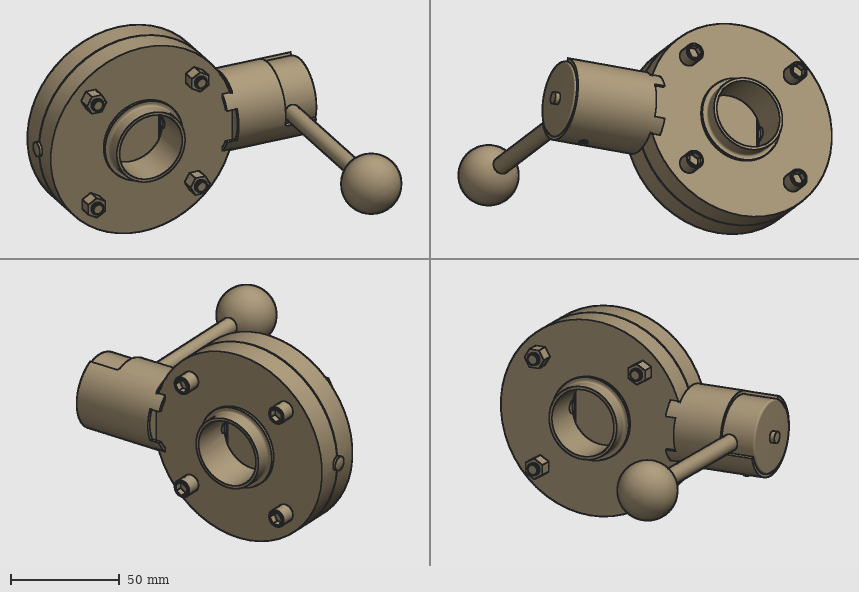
import cadquery as cq
import math


flange_radius = 47.0
flange_half_width = 24.5 / 2
flange_flat_y = 45.9
groove_width = 0.4
groove_depth = 1.4
collar_radius = 19.9
collar_end_x = 13.8
pipe_radius = 35.0 / 2
pipe_end_x = 21.0
pipe_foot_fillet = 1.1
bore_radius = 16.0

bolt_count = 4
bolt_circle_radius = 37.5
first_bolt_angle = 45.0
bolt_head_radius = 8.5 / 2
bolt_head_end_x = -19.9
bolt_head_chamfer = 0.4
socket_across_flats = 5.8
socket_depth = 3.5
nut_across_corners = 10.0
nut_end_x = 18.5
thread_radius = 2.9
thread_end_x = 20.2
thread_chamfer = 0.5

disc_face_half_width = 0.8
disc_face_flat_y = 14.1
disc_step_half_width = 0.7
disc_step_flat_y = 15.0
disc_rim_half_width = 0.5
stem_radius = 2.8
stem_end_y = 89.5
button_radius = 3.5
button_edge_y = -48.3
button_tip_y = -48.8

sleeve_radius = 38.3 / 2
sleeve_bore_radius = 17.5
sleeve_end_y = 85.9
tongue_end_y = 40.8
tongue_slot_half_width = 12.5
notch_half_height = 8.0
window_start_angle = -17.0
window_end_angle = 115.5
window_corner_radius = 1.4
screw_radius = 2.1
screw_tip_z = -20.3
screw_chamfer = 0.5

lever_radius = 4.0
lever_y = 74.0
core_edge_fillet = 1.0
core_cone_height = 0.3
ball_radius = 14.0
ball_x = 100.0
window_bottom_y = lever_y - lever_radius


def x_cylinder(radius, x_start, x_end):
    return cq.Workplane("YZ", origin=(x_start, 0, 0)).circle(radius).extrude(x_end - x_start)


def y_cylinder(radius, y_start, y_end):
    return cq.Workplane("ZX", origin=(0, y_start, 0)).circle(radius).extrude(y_end - y_start)


def centred_box(x_size, y_start, y_end, z_size):
    return cq.Workplane("ZX", origin=(0, y_start, 0)).rect(z_size, x_size).extrude(y_end - y_start)


def flatted_disc(half_width, flat_y):
    """Disc across the pipe bore with a flat at each end of the stem axis."""
    flats = centred_box(2 * half_width, -flat_y, flat_y, 2 * bore_radius)
    return x_cylinder(bore_radius, -half_width, half_width).intersect(flats)


def make_bolt():
    """Socket-head bolt with its nut, lying along the pipe axis."""
    head = (
        x_cylinder(bolt_head_radius, bolt_head_end_x, 0)
        .faces("<X").chamfer(bolt_head_chamfer)
    )
    socket = (
        cq.Workplane("YZ", origin=(bolt_head_end_x, 0, 0))
        .polygon(6, socket_across_flats / math.cos(math.pi / 6))
        .extrude(socket_depth)
    )
    nut = cq.Workplane("YZ").polygon(6, nut_across_corners).extrude(nut_end_x)
    nut = nut.rotate((0, 0, 0), (1, 0, 0), 90)
    thread = x_cylinder(thread_radius, 0, thread_end_x).faces(">X").chamfer(thread_chamfer)
    return head.cut(socket).union(nut).union(thread)


def make_pipe_end():
    """Collar and pipe stub on the +X side, with a fillet where they meet."""
    fillet_end_x = collar_end_x + pipe_foot_fillet
    fillet_foot_radius = pipe_radius + pipe_foot_fillet
    arc_drop = pipe_foot_fillet * (1 - math.sqrt(0.5))
    return (
        cq.Workplane("XY")
        .lineTo(0, collar_radius)
        .lineTo(collar_end_x, collar_radius)
        .lineTo(collar_end_x, fillet_foot_radius)
        .threePointArc((collar_end_x + arc_drop, pipe_radius + arc_drop), (fillet_end_x, pipe_radius))
        .lineTo(pipe_end_x, pipe_radius)
        .lineTo(pipe_end_x, 0)
        .close()
        .revolve(360, (0, 0, 0), (1, 0, 0))
    )


def make_body(disc):
    """Flange pair, pipe ends and bolts as one solid, hollowed for the disc and its stem."""
    flange = x_cylinder(flange_radius, -flange_half_width, flange_half_width)
    flange = flange.intersect(
        centred_box(2 * flange_half_width, -flange_radius, flange_flat_y, 2 * flange_radius)
    )
    groove = x_cylinder(flange_radius, -groove_width / 2, groove_width / 2).cut(
        x_cylinder(flange_radius - groove_depth, -groove_width / 2, groove_width / 2)
    )
    pipe_end = make_pipe_end()
    body = flange.cut(groove).union(pipe_end).union(pipe_end.mirror("YZ"))

    body = body.cut(x_cylinder(bore_radius, -pipe_end_x, pipe_end_x))

    for index in range(bolt_count):
        angle = first_bolt_angle + index * 360 / bolt_count
        bolt = make_bolt().rotate((0, 0, 0), (1, 0, 0), index * 360 / bolt_count)
        bolt_y = bolt_circle_radius * math.cos(math.radians(angle))
        bolt_z = bolt_circle_radius * math.sin(math.radians(angle))
        body = body.union(bolt.translate((0, bolt_y, bolt_z)))
    return body.cut(disc)


def make_disc():
    """Closing disc with its stem: a domed button at one end, a plain pin at the other."""
    rim = x_cylinder(bore_radius, -disc_rim_half_width, disc_rim_half_width)
    steps = flatted_disc(disc_step_half_width, disc_step_flat_y)
    faces = flatted_disc(disc_face_half_width, disc_face_flat_y)
    upper_stem = y_cylinder(stem_radius, 0, stem_end_y)
    dome_height = button_edge_y - button_tip_y
    dome_radius = (button_radius ** 2 + dome_height ** 2) / (2 * dome_height)
    half_turn = math.asin(button_radius / dome_radius) / 2
    dome_middle = (
        dome_radius * math.sin(half_turn),
        button_tip_y + dome_radius * (1 - math.cos(half_turn)),
    )
    lower_stem = (
        cq.Workplane("XY")
        .lineTo(button_radius, 0)
        .lineTo(button_radius, button_edge_y)
        .threePointArc(dome_middle, (0, button_tip_y))
        .close()
        .revolve(360, (0, 0, 0), (0, 1, 0))
    )
    stem = upper_stem.union(lower_stem).cut(x_cylinder(bore_radius, -button_radius, button_radius))
    return rim.union(steps).union(faces).union(stem)


def make_window():
    """Sector that frees the lever, with rounded corners at its closed end."""
    reach = 3 * sleeve_radius
    middle_angle = (window_start_angle + window_end_angle) / 2
    corners = [(0, 0)]
    for angle in (window_start_angle, middle_angle, window_end_angle):
        turn = math.radians(angle)
        corners.append((reach * math.sin(turn), reach * math.cos(turn)))
    sector = (
        cq.Workplane("ZX", origin=(0, window_bottom_y, 0))
        .polyline(corners).close()
        .extrude(sleeve_end_y - window_bottom_y)
    )
    for z, x in (corners[1], corners[-1]):
        edge_point = (x / 2, window_bottom_y, z / 2)
        sector = sector.edges(cq.selectors.NearestToPointSelector(edge_point)).fillet(window_corner_radius)
    return sector


def make_sleeve():
    """Sleeve around the handle core, with four locking tongues, a lever window and a screw."""
    sleeve = y_cylinder(sleeve_radius, tongue_end_y, sleeve_end_y)
    slot = centred_box(2 * tongue_slot_half_width, tongue_end_y, flange_flat_y, 2 * sleeve_radius)
    notch = centred_box(2 * sleeve_radius, tongue_end_y, flange_flat_y, 2 * notch_half_height)
    sleeve = sleeve.cut(slot).cut(notch)
    screw = (
        cq.Workplane("XY", origin=(0, lever_y, screw_tip_z))
        .circle(screw_radius)
        .extrude(-screw_tip_z)
        .faces("<Z").chamfer(screw_chamfer)
    )
    sleeve = sleeve.union(screw)
    sleeve = sleeve.cut(y_cylinder(sleeve_bore_radius, tongue_end_y, sleeve_end_y))
    return sleeve.cut(make_window())


def make_handle(disc):
    """Core inside the sleeve, with a slightly coned end, the lever and its ball knob."""
    shoulder_y = sleeve_end_y + core_edge_fillet
    face_radius = sleeve_bore_radius - core_edge_fillet
    arc_drop = core_edge_fillet * (1 - math.sqrt(0.5))
    core = (
        cq.Workplane("XY")
        .moveTo(0, flange_flat_y)
        .lineTo(sleeve_bore_radius, flange_flat_y)
        .lineTo(sleeve_bore_radius, sleeve_end_y)
        .threePointArc((sleeve_bore_radius - arc_drop, shoulder_y - arc_drop), (face_radius, shoulder_y))
        .lineTo(0, shoulder_y + core_cone_height)
        .close()
        .revolve(360, (0, 0, 0), (0, 1, 0))
    )
    lever = x_cylinder(lever_radius, 0, ball_x).translate((0, lever_y, 0))
    ball = cq.Workplane("XY").sphere(ball_radius).translate((ball_x, lever_y, 0))
    return core.union(lever).union(ball).cut(disc)


disc = make_disc()
body = make_body(disc)
sleeve = make_sleeve()
handle = make_handle(disc)
result = cq.Compound.makeCompound([
    body.solids().val(),
    disc.solids().val(),
    sleeve.solids().val(),
    handle.solids().val(),
])